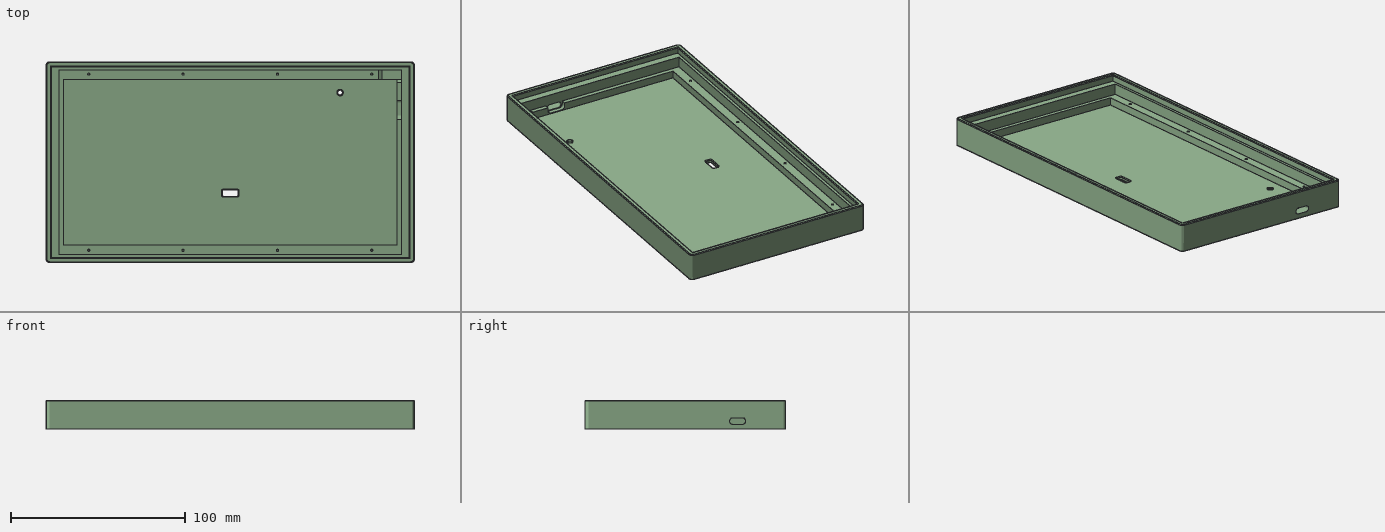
import cadquery as cq
import math

length = 211.0
width = 115.0
height = 16.5
corner_radius = 2.1
edge_chamfer = 0.5

rim_length = 204.9
rim_width = 109.0
rim_depth = 3.8
rim_step_z = height - rim_depth
middle_length = 196.0
middle_width = 105.5
ledge_z = 6.3
floor_length = 190.7
floor_width = 94.5
floor_z = 2.0

screw_diameter = 1.2
screw_depth = 3.2
screw_pitch = 54.0
screw_y = 50.5
screws_per_side = 4

round_hole_diameter = 2.7
round_hole_x = 62.9
round_hole_y = 39.9
slot_length = 9.0
slot_width = 3.5
slot_corner_radius = 0.6
slot_y = -17.7

port_y = 30.0
port_length = slot_length
port_height = slot_width
port_bottom_z = 2.7
port_corner_radius = 1.7
notch_length = 11.0
notch_bottom_z = 2.3
notch_corner_radius = 2.1

lowered_start_x = 85.0
lowered_start_y = 45.5
lowered_depth = 1.3
ramp_run = 2.0
ramp_taper = math.degrees(math.atan2(ramp_run, lowered_depth))


def block(size_x, size_y, bottom_z, top_z):
    """Rectangular block centred on the Z axis, between two heights."""
    base = cq.Workplane("XY").workplane(offset=bottom_z)
    return base.rect(size_x, size_y).extrude(top_z - bottom_z)


def tray_body():
    """Rounded tray with a chamfered rim and a stepped recess."""
    body = block(length, width, 0, height).edges("|Z").fillet(corner_radius)
    body = body.cut(block(rim_length, rim_width, rim_step_z, height))
    body = body.faces(">Z").chamfer(edge_chamfer)
    body = body.cut(block(middle_length, middle_width, ledge_z, rim_step_z))
    return body.cut(block(floor_length, floor_width, floor_z, ledge_z))


def screw_holes():
    """Two rows of blind holes in the long ledges."""
    base = cq.Workplane("XY").workplane(offset=ledge_z - screw_depth)
    places = base.rarray(screw_pitch, 2 * screw_y, screws_per_side, 2)
    return places.circle(screw_diameter / 2).extrude(screw_depth)


def round_hole():
    """Round hole through the floor, widening by a chamfer at the floor surface."""
    place = cq.Workplane("XY").center(round_hole_x, round_hole_y)
    radius = round_hole_diameter / 2
    hole = place.circle(radius).extrude(floor_z)
    mouth = place.circle(radius + edge_chamfer).extrude(floor_z)
    mouth = mouth.faces("<Z").chamfer(edge_chamfer)
    return hole.union(mouth.translate((0, 0, floor_z - edge_chamfer)))


def floor_slot():
    """Slot through the floor, widening by a chamfer at the floor surface."""
    place = cq.Workplane("XY").center(0, slot_y)
    slot = place.rect(slot_length, slot_width).extrude(floor_z)
    slot = slot.edges("|Z").fillet(slot_corner_radius)
    flare = 2 * edge_chamfer
    mouth = place.rect(slot_length + flare, slot_width + flare).extrude(floor_z)
    mouth = mouth.edges("|Z").fillet(slot_corner_radius + edge_chamfer)
    mouth = mouth.faces("<Z").chamfer(edge_chamfer)
    return slot.union(mouth.translate((0, 0, floor_z - edge_chamfer)))


def wall_port():
    """Rounded port through the +X wall."""
    base = cq.Workplane("YZ").workplane(offset=middle_length / 2)
    outline = base.center(port_y, port_bottom_z + port_height / 2).rect(port_length, port_height)
    return outline.extrude((length - middle_length) / 2).edges("|X").fillet(port_corner_radius)


def ledge_notch():
    """Open-topped notch in the +X ledge, rounded along its bottom edges."""
    base = cq.Workplane("YZ").workplane(offset=floor_length / 2)
    outline = base.center(port_y, (notch_bottom_z + ledge_z) / 2)
    outline = outline.rect(notch_length, ledge_z - notch_bottom_z)
    notch = outline.extrude((middle_length - floor_length) / 2)
    return notch.edges("|X and <Z").fillet(notch_corner_radius)


def lowered_corner():
    """Ramped recess in the ledge corner, kept inside the surrounding walls."""
    lowered_z = ledge_z - lowered_depth
    base = cq.Workplane("XY").workplane(offset=lowered_z)
    size_x = length / 2 - lowered_start_x
    size_y = width / 2 - lowered_start_y
    outline = base.center(lowered_start_x + ramp_run, lowered_start_y + ramp_run)
    recess = outline.rect(size_x, size_y, centered=False).extrude(lowered_depth, taper=-ramp_taper)
    return recess.intersect(block(middle_length, middle_width, lowered_z, ledge_z))


result = tray_body()
for cutter in (
    screw_holes(),
    round_hole(),
    floor_slot(),
    wall_port(),
    ledge_notch(),
    lowered_corner(),
):
    result = result.cut(cutter)